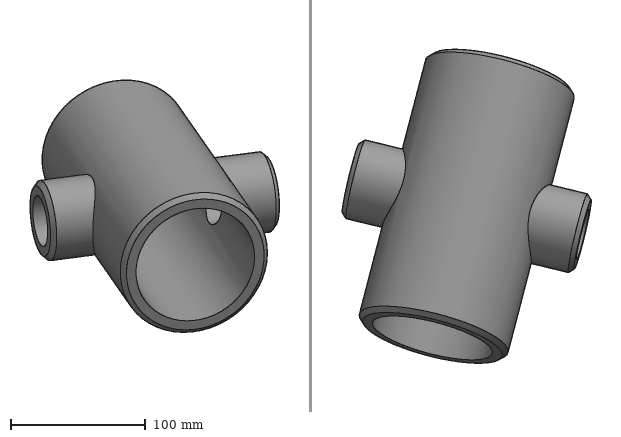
import cadquery as cq

run_length = 209.3
run_outer_diameter = 114.3
run_bore_diameter = 92.05

branch_span = 177.8
branch_outer_diameter = 60.325
branch_bore_diameter = 38.2

end_bevel = 3.7


def bar(plane, length, diameter):
    """Cylinder centred on the origin, with its axis along the plane normal."""
    return cq.Workplane(plane).circle(diameter / 2).extrude(length / 2, both=True)


def beveled_bar(plane, length, diameter):
    """Centred cylinder with the rim of both ends beveled."""
    return bar(plane, length, diameter).edges("%CIRCLE").chamfer(end_bevel)


run = beveled_bar("YZ", run_length, run_outer_diameter)
branches = beveled_bar("XZ", branch_span, branch_outer_diameter)

run_bore = bar("YZ", run_length, run_bore_diameter)
branch_bore = bar("XZ", branch_span, branch_bore_diameter)

result = run.union(branches).cut(run_bore).cut(branch_bore)